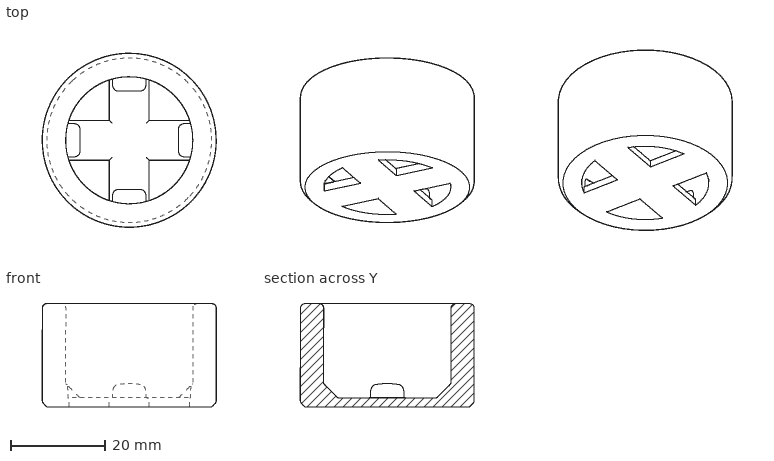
import cadquery as cq
import math

outer_diameter = 37.0
bore_diameter = 27.0
ring_height = 22.0
rim_fillet = 1.0
base_chamfer = 1.0
chamfer_blend_radius = 1.0

arm_width = 8.5
arm_height = 2.0
arm_fillet = 0.7

gusset_width = arm_width - 2 * arm_fillet
gusset_toe_radius = 10.5
gusset_angle = 45.0
gusset_fillet = 1.0

outer_radius = outer_diameter / 2
bore_radius = bore_diameter / 2
root_radius = (outer_radius + bore_radius) / 2


def make_ring():
    """Plain tube with a rounded rim and a blended chamfer around its base."""
    tube = cq.Workplane("XY").circle(outer_radius).circle(bore_radius).extrude(ring_height)
    tube = tube.faces(">Z").edges().fillet(rim_fillet)
    outer_base_edge = cq.selectors.RadiusNthSelector(-1)
    tube = tube.faces("<Z").edges(outer_base_edge).chamfer(base_chamfer)

    edge_reach = outer_radius + base_chamfer
    chamfer_top_edge = cq.selectors.BoxSelector(
        (-edge_reach, -edge_reach, base_chamfer / 2),
        (edge_reach, edge_reach, base_chamfer * 2),
        boundingbox=True,
    )
    return tube.edges(chamfer_top_edge).fillet(chamfer_blend_radius)


def make_cross():
    """Two crossing bars with rounded upper edges."""
    on_base = (True, True, False)
    arm_span = 2 * root_radius
    bar_along_x = cq.Workplane("XY").box(arm_span, arm_width, arm_height, centered=on_base)
    bar_along_y = cq.Workplane("XY").box(arm_width, arm_span, arm_height, centered=on_base)
    return bar_along_x.union(bar_along_y).faces(">Z").edges().fillet(arm_fillet)


def make_gusset():
    """Wedge on the +X arm, rounded along both side edges of its slope."""
    slope = math.tan(math.radians(gusset_angle))
    tip_radius = gusset_toe_radius - arm_height / slope
    gusset_top = (root_radius - tip_radius) * slope
    wedge = (
        cq.Workplane("XZ")
        .moveTo(tip_radius, 0)
        .lineTo(root_radius, 0)
        .lineTo(root_radius, gusset_top)
        .close()
        .extrude(gusset_width / 2, both=True)
    )
    return wedge.edges("not (|X or |Y or |Z)").fillet(gusset_fillet)


result = make_ring().union(make_cross())
gusset = make_gusset()
for arm_direction in (0, 90, 180, 270):
    result = result.union(gusset.rotate((0, 0, 0), (0, 0, 1), arm_direction))